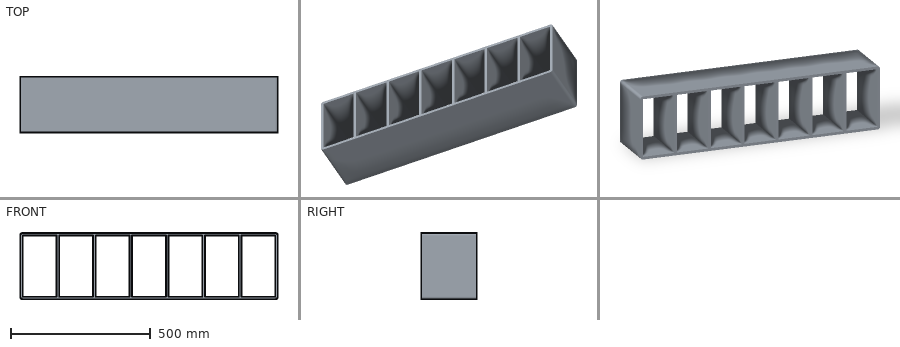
import cadquery as cq

length = 923.5
depth = 200.0
height = 238.0

panel = 10.0
corner_radius = panel
bay_count = 7

bay_width = (length - (bay_count + 1) * panel) / bay_count
bay_height = height - 2 * panel
bay_pitch = bay_width + panel


def make_block():
    """Solid block with its four edges along Y rounded."""
    return cq.Workplane("XY").box(length, depth, height).edges("|Y").fillet(corner_radius)


def make_bays():
    """Row of equal rectangular openings running through the full depth."""
    return (
        cq.Workplane("XY")
        .rarray(bay_pitch, 9, bay_count, 1)
        .box(bay_width, depth, bay_height)
    )


result = make_block().cut(make_bays())